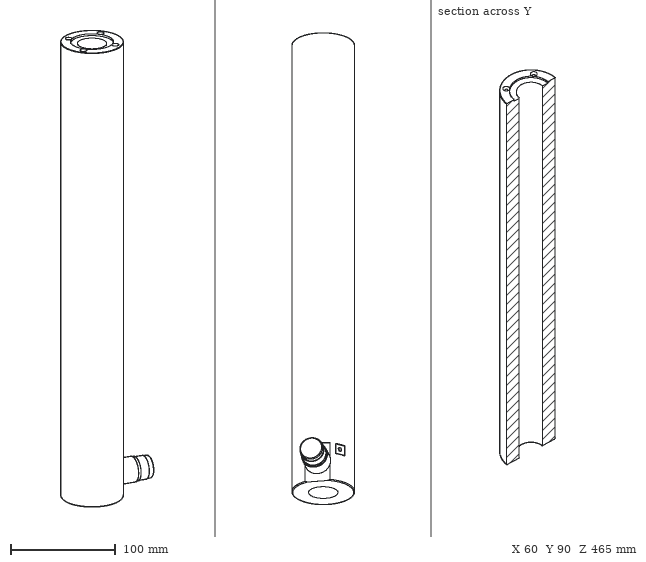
import cadquery as cq

body_length = 465.0
body_diameter = 60.0
body_radius = body_diameter / 2
bore_radius = 14.0
base_chamfer = 1.0
top_chamfer = 0.5

recess_radius = 20.5
recess_depth = 2.0
screw_count = 4
screw_circle_radius = 23.5
screw_hole_radius = 1.5
screw_hole_depth = 9.5
screw_head_radius = 3.3
screw_head_depth = 2.0

flat_y = 27.5
flat_height = 39.0

overall_depth = 90.0
connector_tip_y = overall_depth - body_radius
connector_z = 20.5
connector_root_y = 21.0
connector_steps = [
    (43.2, 12.5),
    (46.0, 12.0),
    (55.0, 11.5),
    (connector_tip_y, 11.0),
]
connector_end_chamfer = 1.0

pad_size = 10.0
pad_depth = 1.5
pad_angle = 135.0
pad_z = flat_height - pad_size / 2
pad_hole_radius = 2.0
pad_hole_depth = 2.5
pad_hole_z = 34.5


def cylinder(radius, bottom, top):
    return cq.Workplane("XY").workplane(offset=bottom).circle(radius).extrude(top - bottom)


def make_body():
    body = cylinder(body_radius, 0, body_length)
    body = body.faces("<Z").edges().chamfer(base_chamfer)
    body = body.faces(">Z").edges().chamfer(top_chamfer)
    recess = cylinder(recess_radius, body_length - recess_depth, body_length)
    return body.cut(recess)


def cut_screw_holes(body):
    head_bottom = body_length - screw_head_depth
    outline = [
        (0, body_length - screw_hole_depth),
        (screw_hole_radius, body_length - screw_hole_depth),
        (screw_hole_radius, head_bottom),
        (screw_head_radius, body_length),
        (0, body_length),
    ]
    screw = cq.Workplane("XZ").polyline(outline).close().revolve(360, (0, 0), (0, 1))
    screw = screw.translate((screw_circle_radius, 0, 0))
    pitch = 360 / screw_count
    for index in range(screw_count):
        body = body.cut(screw.rotate((0, 0, 0), (0, 0, 1), pitch * (index + 0.5)))
    return body


def cut_connector_flat(body):
    cutter = cq.Workplane("XY").box(
        2 * body_radius, body_radius, flat_height, centered=(True, False, False)
    )
    return body.cut(cutter.translate((0, flat_y, 0)))


def cut_side_pad(body):
    floor = body_radius - pad_depth
    pocket = cq.Workplane("XY").box(
        body_radius, pad_size, pad_size, centered=(False, True, True)
    )
    pocket = pocket.translate((floor, 0, pad_z))
    hole = (
        cq.Workplane("YZ", origin=(floor - pad_hole_depth, 0, pad_hole_z))
        .circle(pad_hole_radius)
        .extrude(body_radius)
    )
    cutter = pocket.union(hole).rotate((0, 0, 0), (0, 0, 1), pad_angle)
    return body.cut(cutter)


def make_connector():
    outline = [(0, connector_root_y)]
    start = connector_root_y
    for end, radius in connector_steps:
        outline += [(radius, start), (radius, end)]
        start = end
    outline.append((0, start))
    connector = cq.Workplane("XY").polyline(outline).close().revolve(360, (0, 0), (0, 1))
    connector = connector.faces(">Y").edges().chamfer(connector_end_chamfer)
    return connector.translate((0, 0, connector_z))


body = cut_side_pad(cut_connector_flat(cut_screw_holes(make_body())))
result = body.union(make_connector()).cut(cylinder(bore_radius, 0, body_length))